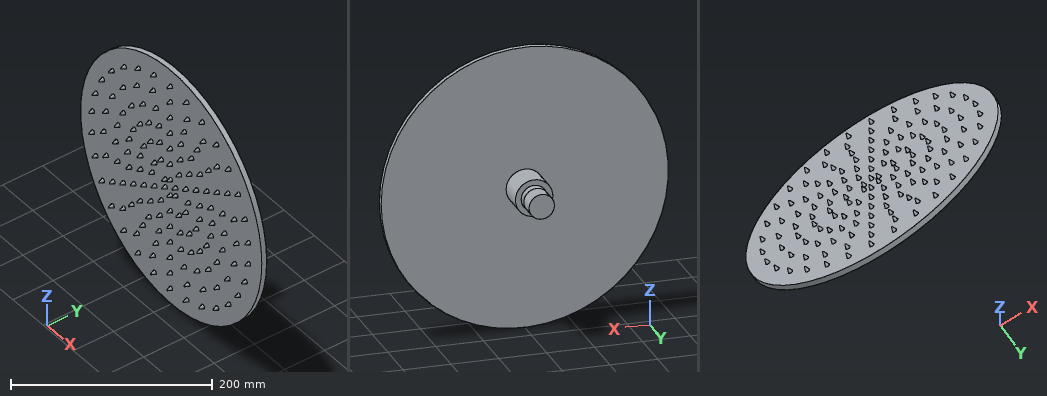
import cadquery as cq
import math

plate_diameter = 300.0
plate_thickness = 6.3

socket_radius = 19.5
socket_length = 30.3
ball_radius = 16.2
ball_opening_radius = 13.5
neck_base_radius = 7.8
neck_top_radius = 6.3
neck_length = 2.55
cap_radius = 13.2
cap_length = 17.0

nozzle_base_radius = 2.5
nozzle_tip_radius = 0.75
nozzle_length = 5.0
outer_ring_radius = 130.0
nozzles_per_ring = (6, 12, 18, 24, 24, 24, 30)

ring_pitch = outer_ring_radius / (len(nozzles_per_ring) - 0.5)


def make_body():
    """Plate, socket, ball, neck and cap as one revolved profile about Y."""
    socket_end = plate_thickness + socket_length
    ball_center = socket_end - math.sqrt(ball_radius**2 - ball_opening_radius**2)
    ball_end = ball_center + math.sqrt(ball_radius**2 - neck_base_radius**2)
    neck_end = ball_end + neck_length
    cap_end = neck_end + cap_length

    start_angle = math.acos(ball_opening_radius / ball_radius)
    end_angle = math.acos(neck_base_radius / ball_radius)
    middle_angle = (start_angle + end_angle) / 2
    ball_middle = (
        ball_radius * math.cos(middle_angle),
        ball_center + ball_radius * math.sin(middle_angle),
    )

    profile = (
        cq.Workplane("XY")
        .lineTo(plate_diameter / 2, 0)
        .lineTo(plate_diameter / 2, plate_thickness)
        .lineTo(socket_radius, plate_thickness)
        .lineTo(socket_radius, socket_end)
        .lineTo(ball_opening_radius, socket_end)
        .threePointArc(ball_middle, (neck_base_radius, ball_end))
        .lineTo(neck_top_radius, neck_end)
        .lineTo(cap_radius, neck_end)
        .lineTo(cap_radius, cap_end)
        .lineTo(0, cap_end)
        .close()
    )
    return profile.revolve(360, (0, 0, 0), (0, 1, 0))


def nozzle_centers():
    """(X, Z) centers of all nozzles; every ring starts straight up."""
    centers = []
    for ring, count in enumerate(nozzles_per_ring):
        radius = (ring + 0.5) * ring_pitch
        for step in range(count):
            angle = 2 * math.pi * step / count
            centers.append((radius * math.sin(angle), radius * math.cos(angle)))
    return centers


def make_nozzle():
    """Round-tipped cone at the plate center, pointing toward -Y."""
    tip_center = nozzle_tip_radius - nozzle_length
    diagonal = nozzle_tip_radius * math.sqrt(0.5)
    profile = (
        cq.Workplane("XY")
        .lineTo(nozzle_base_radius, 0)
        .lineTo(nozzle_tip_radius, tip_center)
        .threePointArc((diagonal, tip_center - diagonal), (0, -nozzle_length))
        .close()
    )
    return profile.revolve(360, (0, 0, 0), (0, 1, 0)).val()


nozzle = make_nozzle()
nozzles = [nozzle.translate(cq.Vector(x, 0, z)) for x, z in nozzle_centers()]
result = cq.Workplane(make_body().val().fuse(*nozzles))